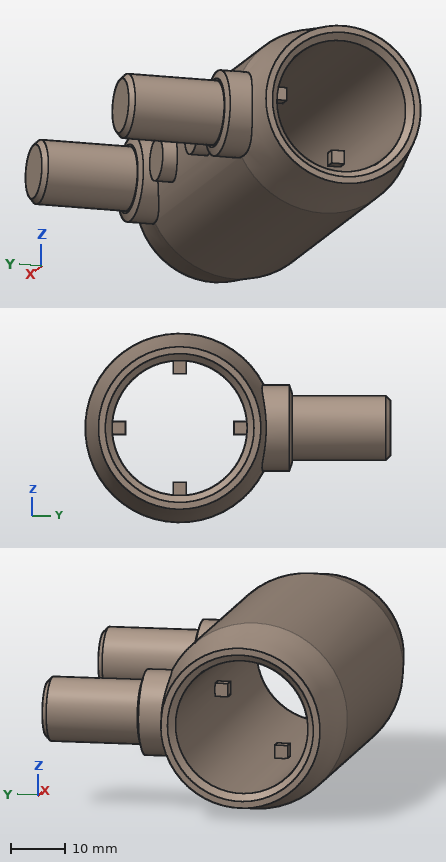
import cadquery as cq

sleeve_length = 79.5
sleeve_radius = 17.5
end_radius = 15.0
taper_length = 13.3
bore_radius = 12.5
mouth_radius = 13.75
mouth_depth = 1.3

lug_count = 4
lug_width = 2.5
lug_height = 2.5
lug_root = 0.5

stud_radius = 12.0 / 2
stud_tip_y = 39.0
stud_chamfer = 0.95
collar_radius = 16.0 / 2
collar_edge_y = 20.3
collar_cone_height = 0.55
collar_ledge = 0.4
collar_top_radius = stud_radius + collar_ledge
stud_offset = sleeve_length / 2 - taper_length

boss_radius = 8.0 / 2
boss_top_y = collar_edge_y
boss_offset = 10.65


def make_barrel(middle_radius, tip_radius, tip_length):
    """Solid of revolution about X, sleeve length, with a cone at each end."""
    half_length = sleeve_length / 2
    half_middle = half_length - tip_length
    profile = [
        (-half_length, 0),
        (-half_length, tip_radius),
        (-half_middle, middle_radius),
        (half_middle, middle_radius),
        (half_length, tip_radius),
        (half_length, 0),
    ]
    return cq.Workplane("XY").polyline(profile).close().revolve(360, (0, 0, 0), (1, 0, 0))


def make_stud(x):
    """Stud and collar revolved about a +Y axis, starting on the sleeve axis."""
    collar_top_y = collar_edge_y + collar_cone_height
    profile = [
        (x, 0),
        (x + collar_radius, 0),
        (x + collar_radius, collar_edge_y),
        (x + collar_top_radius, collar_top_y),
        (x + stud_radius, collar_top_y),
        (x + stud_radius, stud_tip_y - stud_chamfer),
        (x + stud_radius - stud_chamfer, stud_tip_y),
        (x, stud_tip_y),
    ]
    return cq.Workplane("XY").polyline(profile).close().revolve(360, (x, 0, 0), (x, 1, 0))


def make_boss(x):
    """Plain round boss on a +Y axis, starting on the sleeve axis."""
    return cq.Workplane("XZ").center(x, 0).circle(boss_radius).extrude(-boss_top_y)


def make_lug(angle):
    """Square lug reaching inward from the bore wall, turned about the X axis."""
    inner_radius = bore_radius - lug_height
    length = lug_height + lug_root
    lug = cq.Workplane("XY").box(lug_width, length, lug_width, centered=(True, False, True))
    return lug.translate((0, inner_radius, 0)).rotate((0, 0, 0), (1, 0, 0), angle)


result = make_barrel(sleeve_radius, end_radius, taper_length)
for side in (-1, 1):
    result = result.union(make_stud(side * stud_offset))
    result = result.union(make_boss(side * boss_offset))

result = result.cut(make_barrel(bore_radius, mouth_radius, mouth_depth))

for index in range(lug_count):
    result = result.union(make_lug(index * 360 / lug_count))